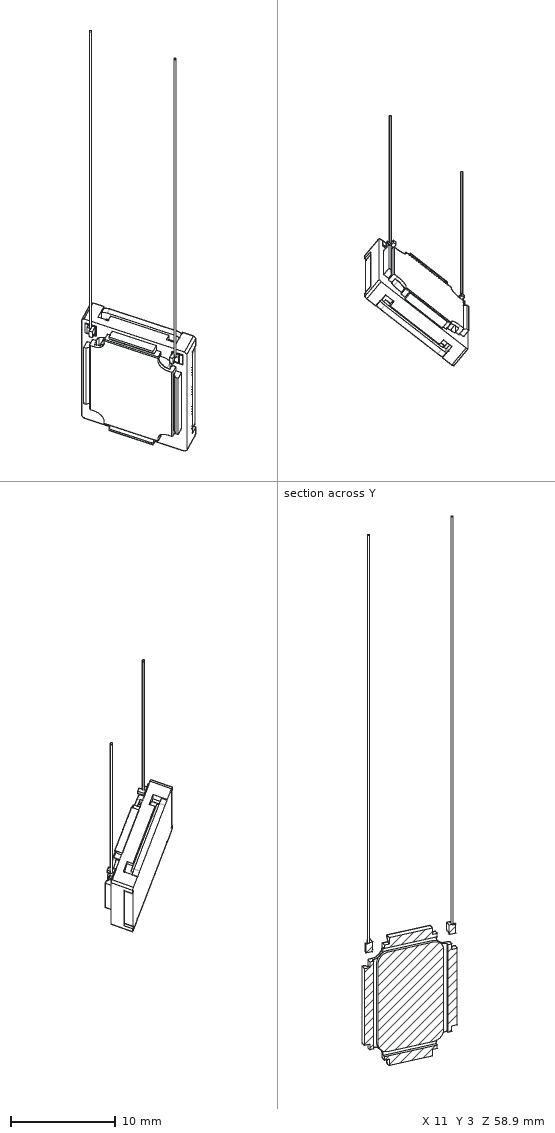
import cadquery as cq


total_depth = 3.0
total_height = 58.86

case_width = 11.0
case_height = 14.86
case_depth = 2.2
case_corner_chamfer = 0.25

window_width = 8.2
window_height = 12.2
window_depth = 0.87
end_tongue_thickness = 0.58
tongue_recess = 0.08
tongue_shoulder_length = 0.6
tongue_shoulder_drop = 0.2
tongue_shoulder_radius = 1.2
tongue_gap_reach = 1.0
corner_pocket_width = 1.05
corner_pocket_depth = 1.45
corner_pocket_reach = 1.5
magnet_corner_radius = 0.75

opening_width = 7.9
opening_height = 11.2
opening_radius = 0.9
opening_depth = 0.6
coil_width = 7.0
coil_height = 10.9
coil_radius = 1.1

cover_depth = total_depth - case_depth
cover_width = 8.7
cover_height = 12.6
cover_side_wall_length = 9.6
cover_end_wall_length = 5.6
cover_corner_radius = 1.07
cover_sheet_thickness = 0.3
cover_wall_thickness = 0.42
cover_edge_chamfer = 0.1

side_rail_length = 8.4
side_rail_outer = 4.93
end_rail_length = 4.6
end_rail_outer = 7.0
rail_crest = 0.25
rail_groove_depth = 0.3
rail_clearance = 0.05

terminal_width = 1.15
terminal_height = 1.36
terminal_thickness = 0.12
terminal_x = 4.53
terminal_z = 6.25
solder_width = 0.7
solder_height = 1.2
solder_thickness = 0.4
solder_taper = 0.35
stub_width = 0.35
stub_height = 0.85
stub_x = 4.21
stub_z = 6.5
wire_diameter = 0.22
wire_x = 4.42
wire_y = -0.36
wire_start_z = 6.7

tip_diameter = 0.1
tip_length = 0.1
tip_x = 4.1
tip_y = case_depth - 0.9
wire_top_z = total_height - case_height / 2 - tip_length


def block(width, height, y_front, y_back, x=0.0, z=0.0):
    """Box centred on (x, z), reaching from y_front to y_back."""
    depth = y_back - y_front
    return cq.Workplane("XY").box(width, depth, height).translate((x, (y_front + y_back) / 2, z))


def make_case():
    case = block(case_width, case_height, 0, case_depth)
    return case.edges("|Y").chamfer(case_corner_chamfer)


def cut_opening(body):
    opening = block(opening_width, opening_height, 0, opening_depth)
    return body.cut(opening.edges("|Y").fillet(opening_radius))


def make_coil():
    coil = block(coil_width, coil_height, cover_sheet_thickness - cover_depth, opening_depth)
    return coil.edges("|Y").fillet(coil_radius)


def make_window(span, wall_position, tongue_thickness):
    """Space around one back plate tongue, in the wall facing +Z."""
    bottom_z = wall_position - tongue_gap_reach
    tongue_end_z = wall_position - tongue_recess
    shoulder_z = tongue_end_z - tongue_shoulder_drop
    half_span = span / 2
    half_flat = half_span - tongue_shoulder_length
    mid_z = wall_position - tongue_gap_reach / 2
    window = block(span, tongue_gap_reach, case_depth - window_depth, case_depth, z=mid_z)
    tongue = (
        cq.Workplane("XZ", origin=(0, case_depth, 0))
        .moveTo(-half_span, bottom_z)
        .lineTo(-half_span, shoulder_z)
        .radiusArc((-half_flat, tongue_end_z), tongue_shoulder_radius)
        .lineTo(half_flat, tongue_end_z)
        .radiusArc((half_span, shoulder_z), tongue_shoulder_radius)
        .lineTo(half_span, bottom_z)
        .close()
        .extrude(tongue_thickness)
    )
    return window.cut(tongue)


def corner_pocket(side):
    """Deeper pocket at one end of the top and bottom windows, around a rounded magnet corner."""
    x = side * (window_width - corner_pocket_width) / 2
    z = (case_height - corner_pocket_reach) / 2
    pocket_front = case_depth - corner_pocket_depth
    pocket_back = case_depth - end_tongue_thickness
    pocket = block(corner_pocket_width, corner_pocket_reach, pocket_front, pocket_back, x, z)
    magnet_x = side * (window_width / 2 - corner_pocket_width)
    magnet_z = case_height / 2 - corner_pocket_reach
    magnet_corner = (
        cq.Workplane("XZ", origin=(magnet_x, pocket_back, magnet_z))
        .circle(magnet_corner_radius)
        .extrude(pocket_back - pocket_front)
    )
    return pocket.cut(magnet_corner)


def cut_windows(body):
    end_window = make_window(window_width, case_height / 2, end_tongue_thickness)
    for side in (-1, 1):
        end_window = end_window.union(corner_pocket(side))
    side_window = make_window(window_height, case_width / 2, window_depth)
    for turn in (0, 180):
        body = body.cut(end_window.rotate((0, 0, 0), (0, 1, 0), turn))
        body = body.cut(side_window.rotate((0, 0, 0), (0, 1, 0), turn + 90))
    return body


def make_cover():
    cover = block(cover_width, cover_height, -cover_depth, 0)
    cover = cover.faces("<Y").chamfer(cover_edge_chamfer)
    inner_width = cover_width - 2 * cover_wall_thickness
    inner_height = cover_height - 2 * cover_wall_thickness
    cover = cover.cut(block(inner_width, inner_height, cover_sheet_thickness - cover_depth, 0))
    notch_x = cover_end_wall_length / 2
    notch_z = cover_side_wall_length / 2
    arc_x = notch_x + cover_corner_radius
    arc_z = notch_z + cover_corner_radius
    corner = (
        cq.Workplane("XZ")
        .moveTo(cover_width, notch_z)
        .lineTo(arc_x, notch_z)
        .radiusArc((notch_x, arc_z), cover_corner_radius)
        .lineTo(notch_x, cover_height)
        .lineTo(cover_width, cover_height)
        .close()
        .extrude(cover_depth)
    )
    corners = corner.union(corner.mirror("YZ"))
    corners = corners.union(corners.mirror("XY"))
    return cover.cut(corners)


def make_rail(length, outer, cover_edge):
    """Rail beyond the cover wall facing +Z, running along X."""
    groove_start = outer - rail_crest
    profile = [
        (0, cover_edge - cover_wall_thickness),
        (0, outer),
        (-cover_depth, outer),
        (-cover_depth, groove_start),
        (rail_groove_depth - cover_depth, cover_edge + rail_clearance),
        (rail_groove_depth - cover_depth, cover_edge - cover_wall_thickness),
    ]
    return cq.Workplane("YZ").polyline(profile).close().extrude(length / 2, both=True)


def add_rails(body):
    end_rail = make_rail(end_rail_length, end_rail_outer, cover_height / 2)
    side_rail = make_rail(side_rail_length, side_rail_outer, cover_width / 2)
    for turn in (0, 180):
        body = body.union(end_rail.rotate((0, 0, 0), (0, 1, 0), turn))
        body = body.union(side_rail.rotate((0, 0, 0), (0, 1, 0), turn + 90))
    return body


def make_terminal(side):
    """Solder pad, tapered solder joint, contact stub and lead wire on one side."""
    x = side * terminal_x
    pad = block(terminal_width, terminal_height, -terminal_thickness, 0, x, terminal_z)
    solder = block(solder_width, solder_height, -solder_thickness, 0, side * wire_x, terminal_z)
    solder = solder.edges("<Y and <Z").chamfer(solder_taper)
    stub = block(stub_width, stub_height, -cover_depth, 0, side * stub_x, stub_z)
    wire_length = wire_top_z - wire_start_z
    wire = (
        cq.Workplane("XY", origin=(side * wire_x, wire_y, wire_start_z))
        .circle(wire_diameter / 2)
        .extrude(wire_length)
    )
    return pad.union(solder).union(stub).union(wire)


def make_tip():
    tip = cq.Workplane("XY").circle(tip_diameter / 2).extrude(2 * tip_length)
    return tip.translate((tip_x, tip_y, -case_height / 2 - tip_length))


result = cut_windows(cut_opening(make_case()))
result = result.union(make_coil()).union(make_cover())
result = add_rails(result)
for side in (-1, 1):
    result = result.union(make_terminal(side))
result = result.union(make_tip())